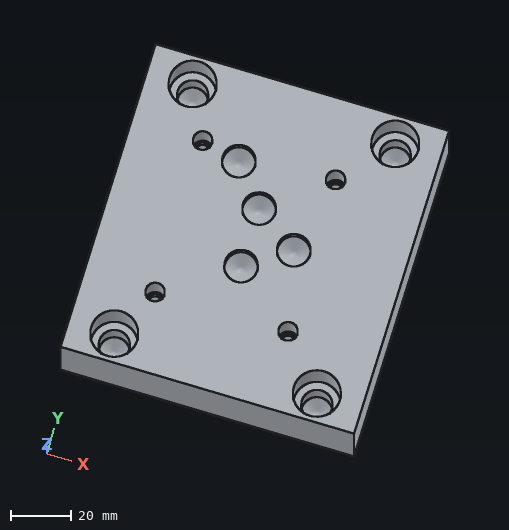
import cadquery as cq
import math

WIDTH = 101.6
LENGTH = 108.0
HEIGHT = 31.7

MOUNT_SPACING_X = 70.1
MOUNT_SPACING_Y = 89.0
COUNTERBORE_DIAMETER = 15.9
COUNTERBORE_DEPTH = 15.9
MOUNT_DIAMETER = 10.4
MOUNT_DEPTH = 25.9

BOLT_SPACING_X = 46.0
BOLT_SPACING_Y = 54.0
BOLT_PATTERN_X = -3.2
THREAD_DIAMETER = 6.4
THREAD_DEPTH = 13.0
TAP_DIAMETER = 5.1
TAP_DEPTH = 16.2

PORT_DIAMETER = 11.1
PORT_DEPTH = 3.2
TANK_PORT = (32.5, 3.2)
WORK_PORT_A = (21.4, 16.7)
PRESSURE_PORT = (6.3, 27.0)
WORK_PORT_B = (WORK_PORT_A[0], BOLT_SPACING_Y - WORK_PORT_A[1])

DRILL_POINT_ANGLE = 118.0


def corners(spacing_x, spacing_y, center_x=0.0):
    """Four corners of a rectangle centred on (center_x, 0)."""
    return [
        (center_x + side_x * spacing_x / 2, side_y * spacing_y / 2)
        for side_x in (-1, 1)
        for side_y in (-1, 1)
    ]


def flat_bore(diameter, depth):
    """Cylinder running down from the top face, centred on the Z axis."""
    return cq.Workplane("XY").workplane(offset=HEIGHT).circle(diameter / 2).extrude(-depth)


def drilled_bore(diameter, depth):
    """Cylinder of the given depth below the top face, ending in a conical drill point."""
    radius = diameter / 2
    floor = HEIGHT - depth
    tip = floor - radius / math.tan(math.radians(DRILL_POINT_ANGLE / 2))
    return (
        cq.Workplane("XZ")
        .moveTo(0, HEIGHT)
        .lineTo(radius, HEIGHT)
        .lineTo(radius, floor)
        .lineTo(0, tip)
        .close()
        .revolve(360, (0, 0, 0), (0, 1, 0))
    )


def cut_at(body, cutter, positions):
    """Remove the cutter from the body at each (x, y) position."""
    for x, y in positions:
        body = body.cut(cutter.translate((x, y, 0)))
    return body


result = cq.Workplane("XY").box(WIDTH, LENGTH, HEIGHT, centered=(True, True, False))

mount_hole = drilled_bore(MOUNT_DIAMETER, MOUNT_DEPTH).union(
    flat_bore(COUNTERBORE_DIAMETER, COUNTERBORE_DEPTH)
)
result = cut_at(result, mount_hole, corners(MOUNT_SPACING_X, MOUNT_SPACING_Y))

bolt_hole = drilled_bore(TAP_DIAMETER, TAP_DEPTH).union(flat_bore(THREAD_DIAMETER, THREAD_DEPTH))
result = cut_at(result, bolt_hole, corners(BOLT_SPACING_X, BOLT_SPACING_Y, BOLT_PATTERN_X))

port_origin_x = BOLT_PATTERN_X + BOLT_SPACING_X / 2
port_origin_y = BOLT_SPACING_Y / 2
ports = [
    (port_origin_x - inset_x, port_origin_y - inset_y)
    for inset_x, inset_y in (TANK_PORT, WORK_PORT_A, PRESSURE_PORT, WORK_PORT_B)
]
result = cut_at(result, drilled_bore(PORT_DIAMETER, PORT_DEPTH), ports)